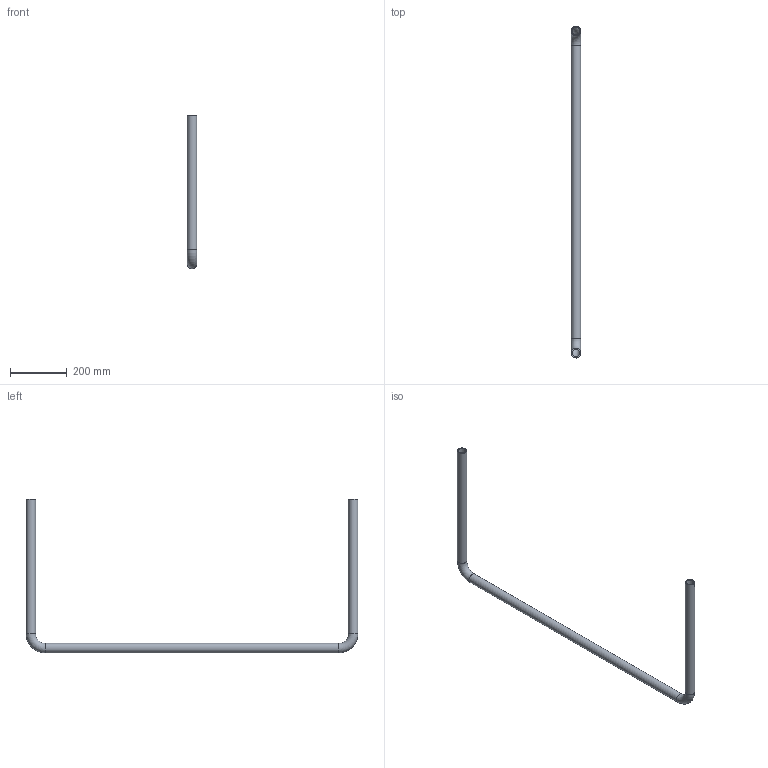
import cadquery as cq

OUTER_DIAMETER = 33.4
BORE_DIAMETER = 26.64

OVERALL_WIDTH = 1168.46
OVERALL_HEIGHT = 541.4

BEND_RADIUS = 50.8

LEG_Y = (OVERALL_WIDTH - OUTER_DIAMETER) / 2
LEG_TOP_Z = OVERALL_HEIGHT - OUTER_DIAMETER / 2
RUN_HALF_LENGTH = LEG_Y - BEND_RADIUS
LEG_LENGTH = LEG_TOP_Z - BEND_RADIUS
BEND_ANGLE = 90


def pipe_ring(workplane):
    """Annular pipe section on the given workplane."""
    return workplane.circle(OUTER_DIAMETER / 2).circle(BORE_DIAMETER / 2)


def bottom_run():
    """Straight horizontal pipe between the two bends."""
    section = pipe_ring(cq.Workplane("XZ", origin=(0, RUN_HALF_LENGTH, 0)))
    return section.extrude(2 * RUN_HALF_LENGTH)


def bend():
    """Quarter-turn elbow from the +Y end of the run up to the leg."""
    section = pipe_ring(cq.Workplane("XZ", origin=(0, RUN_HALF_LENGTH, 0)))
    return section.revolve(BEND_ANGLE, (0, BEND_RADIUS), (1, BEND_RADIUS))


def leg():
    """Vertical pipe on the +Y side, open at its top end."""
    section = pipe_ring(cq.Workplane("XY", origin=(0, LEG_Y, BEND_RADIUS)))
    return section.extrude(LEG_LENGTH)


pipe = bottom_run()
for piece in (bend(), leg()):
    pipe = pipe.union(piece).union(piece.mirror("XZ"))

result = pipe